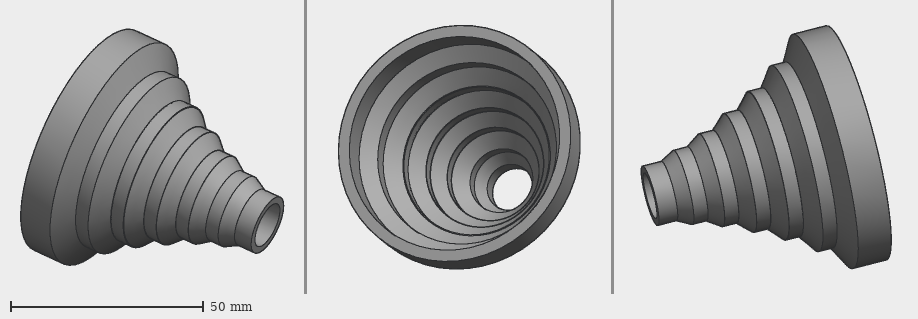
import cadquery as cq

length = 56.0
rim_length = 9.0
step_length = 3.85
cone_length = 3.8
bore_step_lead = 1.2

outer_diameters = [63, 50.0, 40.0, 32.0, 25.0, 20.0, 16.0]
bore_diameters = [57.0, 48.45, 39.45, 31.75, 24.8, 17, 12.2]


def stepped_solid(diameters, second_step_lead=0):
    """Revolve a rim, equally spaced steps and the cones between them about X."""
    profile = cq.Workplane("XY").lineTo(0, diameters[0] / 2)
    profile = profile.lineTo(rim_length, diameters[0] / 2)
    step_start = rim_length + cone_length
    lead = second_step_lead
    for diameter in diameters[1:-1]:
        profile = profile.lineTo(step_start - lead, diameter / 2)
        profile = profile.lineTo(step_start + step_length, diameter / 2)
        step_start += step_length + cone_length
        lead = 0
    profile = profile.lineTo(step_start, diameters[-1] / 2)
    profile = profile.lineTo(length, diameters[-1] / 2)
    profile = profile.lineTo(length, 0).close()
    return profile.revolve(360, (0, 0, 0), (1, 0, 0))


outer_body = stepped_solid(outer_diameters)
bore = stepped_solid(bore_diameters, bore_step_lead)

result = outer_body.cut(bore)